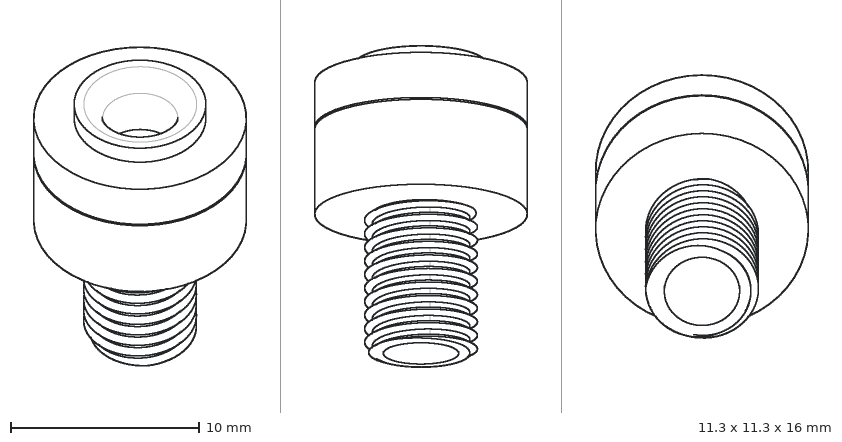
import cadquery as cq
import math

flange_diameter = 11.3
bore_diameter = 4.0
stud_length = 7.7
base_flange_thickness = 4.7

neck_diameter = 8.3
neck_height = 0.1
cap_flange_thickness = 2.5
boss_diameter = 7.0
boss_height = 1.0
mouth_radius = 1.0

thread_major_diameter = 6.0
thread_root_diameter = 5.2
thread_pitch = 0.75
thread_half_angle = math.radians(30)
thread_start_height = 0.08
thread_embed = 0.1

base_top = stud_length + base_flange_thickness
cap_flange_bottom = base_top + neck_height
cap_flange_top = cap_flange_bottom + cap_flange_thickness
cap_top = cap_flange_top + boss_height


def disc(diameter, bottom, top):
    """Solid cylinder on the Z axis between two heights."""
    return cq.Workplane("XY").workplane(offset=bottom).circle(diameter / 2).extrude(top - bottom)


def thread_ridge():
    """Helical V ridge, trimmed flat at the stud tip and at the flange."""
    inner_radius = thread_root_diameter / 2 - thread_embed
    crest_radius = thread_major_diameter / 2
    half_width = (crest_radius - inner_radius) * math.tan(thread_half_angle)
    start = thread_start_height - thread_pitch
    turns = math.ceil(stud_length / thread_pitch) + 2

    path = cq.Wire.makeHelix(thread_pitch, turns * thread_pitch, inner_radius)
    path = path.translate(cq.Vector(0, 0, start))
    profile = (
        cq.Workplane("XZ")
        .moveTo(inner_radius, start - half_width)
        .lineTo(crest_radius, start)
        .lineTo(inner_radius, start + half_width)
        .close()
    )
    ridge = profile.sweep(cq.Workplane(path), isFrenet=True)
    return ridge.intersect(disc(flange_diameter, 0, stud_length))


def make_base():
    """Flanged base with a hollow threaded stud below it."""
    core = disc(thread_root_diameter, 0, stud_length)
    flange = disc(flange_diameter, stud_length, base_top)
    bore = disc(bore_diameter, 0, base_top)
    return core.union(thread_ridge()).union(flange).cut(bore)


def make_cap():
    """Cap resting on the base by a short neck, with a rounded bore mouth in its boss."""
    neck = disc(neck_diameter, base_top, cap_flange_bottom)
    flange = disc(flange_diameter, cap_flange_bottom, cap_flange_top)
    boss = disc(boss_diameter, cap_flange_top, cap_top)
    bore = disc(bore_diameter, base_top, cap_top)
    cap = neck.union(flange).union(boss).cut(bore)
    mouth_edge = cq.selectors.RadiusNthSelector(0)
    return cap.faces(">Z").edges(mouth_edge).fillet(mouth_radius)


base = make_base()
cap = make_cap()
result = cq.Compound.makeCompound([base.solids().val(), cap.solids().val()])